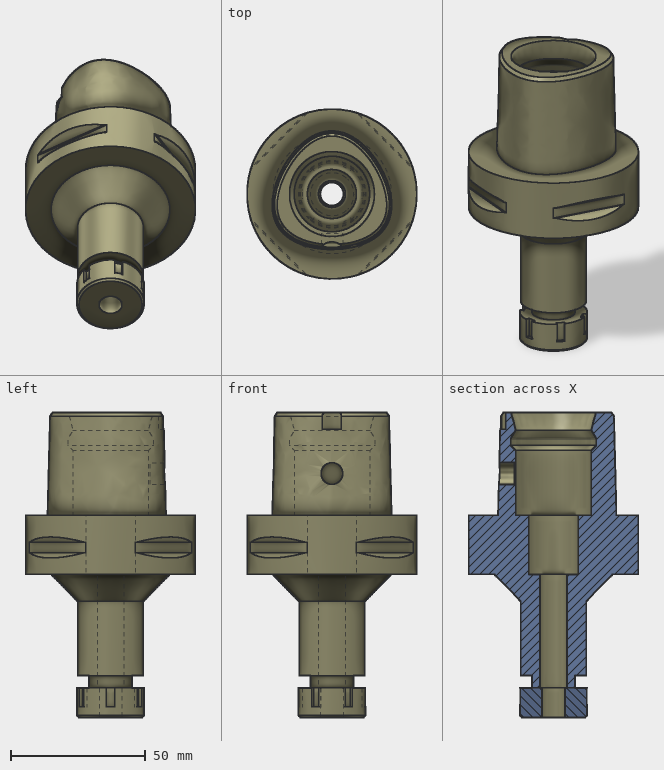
import cadquery as cq
import math


SHANK_LENGTH = 38.0
SHANK_BASE_RADIUS = 22.0
LOBE_HEIGHT = 1.4
TAPER_RATIO = 1 / 40
SHANK_CHAMFER_WIDTH = 1.0
SHANK_CHAMFER_HEIGHT = 1.4
OUTLINE_POINTS = 48

NOTCH_DEPTH = 6.2
NOTCH_WIDTH = 7.0
NOTCH_RADIUS = 5.0
NOTCH_REACH = 17.7

SIDE_HOLE_DIAMETER = 8.0
SIDE_HOLE_BELOW_END = 22.6
SIDE_HOLE_FLOOR = 14.5

FLANGE_RADIUS = 31.5
FLANGE_HEIGHT = 22.0

GROOVE_COUNT = 4
GROOVE_FIRST_ANGLE = 45.0
GROOVE_FLOOR = 27.75
GROOVE_FLARE_START = 28.2
GROOVE_LENGTH = 30.0
GROOVE_FLOOR_HEIGHT = 4.0
GROOVE_MOUTH_HEIGHT = 7.8
GROOVE_Z = -12.0

STEM_RADIUS = 12.2
CONE_TOP_RADIUS = 22.0
CONE_BOTTOM_Z = -32.0
STEM_BOTTOM_Z = -59.5
NECK_RADIUS = 8.0

NUT_TOP_Z = -64.0
NUT_BOTTOM_Z = -75.0
NUT_RADIUS = 12.5
NUT_CHAMFER = 0.8
NUT_BORE_RADIUS = 4.25
NUT_SLOT_COUNT = 6
NUT_SLOT_WIDTH = 3.0
NUT_SLOT_HEIGHT = 7.0
NUT_SLOT_DEPTH = 1.5

MAIN_BORE_RADIUS = 14.0
MOUTH_DEPTH = 6.5
MOUTH_ANGLE = 15.0
UNDERCUT_RADIUS = 15.8
UNDERCUT_FLARE_ANGLE = 30.0
UNDERCUT_CORNER_RADIUS = 1.0
UNDERCUT_END_DEPTH = 14.0
MAIN_BORE_FLOOR_Z = 0.0
STEM_BORE_RADIUS = 9.1
STEM_BORE_FLOOR_Z = -FLANGE_HEIGHT
THROUGH_BORE_RADIUS = 5.0


def lobed_outline(mean_radius, z):
    """Closed three-lobed curve with one lobe toward +Y and its seam on the -Y side."""
    points = []
    for i in range(OUTLINE_POINTS):
        t = math.pi + 2 * math.pi * i / OUTLINE_POINTS
        x = -mean_radius * math.sin(t) + LOBE_HEIGHT * math.sin(2 * t)
        y = mean_radius * math.cos(t) + LOBE_HEIGHT * math.cos(2 * t)
        points.append(cq.Vector(x, y, z))
    return cq.Wire.assembleEdges([cq.Edge.makeSpline(points, periodic=True)])


def make_shank():
    chamfer_z = SHANK_LENGTH - SHANK_CHAMFER_HEIGHT
    chamfer_radius = SHANK_BASE_RADIUS - TAPER_RATIO * chamfer_z
    base = lobed_outline(SHANK_BASE_RADIUS, 0)
    chamfer_start = lobed_outline(chamfer_radius, chamfer_z)
    end = lobed_outline(chamfer_radius - SHANK_CHAMFER_WIDTH, SHANK_LENGTH)
    taper = cq.Solid.makeLoft([base, chamfer_start], True)
    chamfer = cq.Solid.makeLoft([chamfer_start, end], True)
    return cq.Workplane(taper).union(cq.Workplane(chamfer))


def make_turned_body():
    """Flange, cone, stem and neck as one revolved profile."""
    return (
        cq.Workplane("XZ")
        .moveTo(0, 0)
        .lineTo(FLANGE_RADIUS, 0)
        .lineTo(FLANGE_RADIUS, -FLANGE_HEIGHT)
        .lineTo(CONE_TOP_RADIUS, -FLANGE_HEIGHT)
        .lineTo(STEM_RADIUS, CONE_BOTTOM_Z)
        .lineTo(STEM_RADIUS, STEM_BOTTOM_Z)
        .lineTo(NECK_RADIUS, STEM_BOTTOM_Z)
        .lineTo(NECK_RADIUS, NUT_TOP_Z)
        .lineTo(0, NUT_TOP_Z)
        .close()
        .revolve(360, (0, 0), (0, 1))
    )


def make_bore():
    mouth_radius = MAIN_BORE_RADIUS + MOUTH_DEPTH * math.tan(math.radians(MOUTH_ANGLE))
    mouth_bottom_z = SHANK_LENGTH - MOUTH_DEPTH
    undercut_step = UNDERCUT_RADIUS - MAIN_BORE_RADIUS
    undercut_bottom_z = SHANK_LENGTH - UNDERCUT_END_DEPTH

    flare = math.radians(UNDERCUT_FLARE_ANGLE)
    corner_z = mouth_bottom_z - undercut_step / math.tan(flare)
    tangent = UNDERCUT_CORNER_RADIUS * math.tan(flare / 2)
    arc_start = (UNDERCUT_RADIUS - tangent * math.sin(flare), corner_z + tangent * math.cos(flare))
    arc_end = (UNDERCUT_RADIUS, corner_z - tangent)

    return (
        cq.Workplane("XZ")
        .moveTo(0, SHANK_LENGTH)
        .lineTo(mouth_radius, SHANK_LENGTH)
        .lineTo(MAIN_BORE_RADIUS, mouth_bottom_z)
        .lineTo(*arc_start)
        .radiusArc(arc_end, UNDERCUT_CORNER_RADIUS)
        .lineTo(UNDERCUT_RADIUS, undercut_bottom_z + undercut_step)
        .lineTo(MAIN_BORE_RADIUS, undercut_bottom_z)
        .lineTo(MAIN_BORE_RADIUS, MAIN_BORE_FLOOR_Z)
        .lineTo(STEM_BORE_RADIUS, MAIN_BORE_FLOOR_Z)
        .lineTo(STEM_BORE_RADIUS, STEM_BORE_FLOOR_Z)
        .lineTo(THROUGH_BORE_RADIUS, STEM_BORE_FLOOR_Z)
        .lineTo(THROUGH_BORE_RADIUS, NUT_TOP_Z)
        .lineTo(0, NUT_TOP_Z)
        .close()
        .revolve(360, (0, 0), (0, 1))
    )


def make_key_notch():
    """Parallel-sided notch whose inner wall is an arc about an axis along Z."""
    half_width = NOTCH_WIDTH / 2
    arc_rise = NOTCH_RADIUS - math.sqrt(NOTCH_RADIUS**2 - half_width**2)
    arc_end_y = -NOTCH_REACH - arc_rise
    return (
        cq.Workplane("XY", origin=(0, 0, SHANK_LENGTH - NOTCH_DEPTH))
        .moveTo(-half_width, -FLANGE_RADIUS)
        .lineTo(-half_width, arc_end_y)
        .threePointArc((0, -NOTCH_REACH), (half_width, arc_end_y))
        .lineTo(half_width, -FLANGE_RADIUS)
        .close()
        .extrude(NOTCH_DEPTH)
    )


def make_side_hole():
    return (
        cq.Workplane("XZ", origin=(0, -SIDE_HOLE_FLOOR, SHANK_LENGTH - SIDE_HOLE_BELOW_END))
        .circle(SIDE_HOLE_DIAMETER / 2)
        .extrude(FLANGE_RADIUS - SIDE_HOLE_FLOOR)
    )


def make_gripper_groove(angle):
    """Straight groove across the flange rim, with parallel walls that flare toward its mouth."""
    half_floor = GROOVE_FLOOR_HEIGHT / 2
    half_mouth = GROOVE_MOUTH_HEIGHT / 2
    return (
        cq.Workplane("XZ", origin=(0, GROOVE_LENGTH / 2, GROOVE_Z))
        .moveTo(GROOVE_FLOOR, -half_floor)
        .lineTo(GROOVE_FLARE_START, -half_floor)
        .lineTo(FLANGE_RADIUS, -half_mouth)
        .lineTo(FLANGE_RADIUS, half_mouth)
        .lineTo(GROOVE_FLARE_START, half_floor)
        .lineTo(GROOVE_FLOOR, half_floor)
        .close()
        .extrude(GROOVE_LENGTH)
        .rotate((0, 0, 0), (0, 0, 1), angle)
    )


def make_holder():
    holder = make_turned_body().union(make_shank())
    holder = holder.cut(make_bore())
    holder = holder.cut(make_key_notch())
    holder = holder.cut(make_side_hole())
    for i in range(GROOVE_COUNT):
        angle = GROOVE_FIRST_ANGLE + i * 360 / GROOVE_COUNT
        holder = holder.cut(make_gripper_groove(angle))
    return holder


def make_nut():
    """Clamping nut under the neck, with wrench slots open at its upper face."""
    nut = (
        cq.Workplane("XY", origin=(0, 0, NUT_BOTTOM_Z))
        .circle(NUT_RADIUS)
        .extrude(NUT_TOP_Z - NUT_BOTTOM_Z)
        .faces("<Z")
        .chamfer(NUT_CHAMFER)
        .cut(
            cq.Workplane("XY", origin=(0, 0, NUT_BOTTOM_Z))
            .circle(NUT_BORE_RADIUS)
            .extrude(NUT_TOP_Z - NUT_BOTTOM_Z)
        )
    )
    slot = cq.Workplane("XY", origin=(NUT_RADIUS, 0, NUT_TOP_Z)).box(
        2 * NUT_SLOT_DEPTH, NUT_SLOT_WIDTH, 2 * NUT_SLOT_HEIGHT
    )
    for i in range(NUT_SLOT_COUNT):
        nut = nut.cut(slot.rotate((0, 0, 0), (0, 0, 1), i * 360 / NUT_SLOT_COUNT))
    return nut


holder = make_holder()
nut = make_nut()

result = cq.Compound.makeCompound([holder.val(), nut.val()])